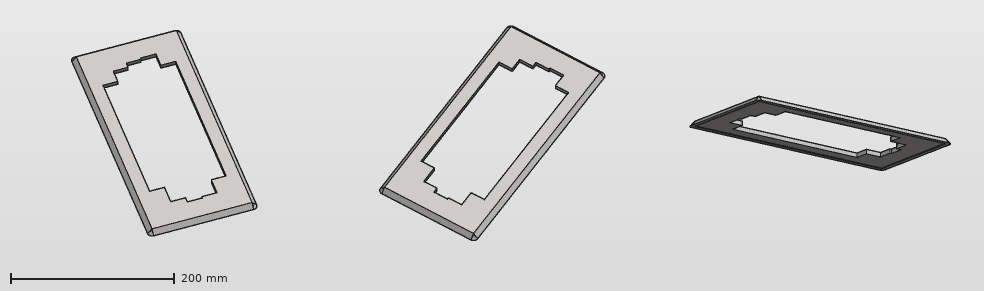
import cadquery as cq
length = 299.5
width = 141.3
thickness = 7.0

rim = 6.0
top_length = length - 2 * rim
top_width = width - 2 * rim

hollow_depth = 1.05

row_spans = [
    (-98.0, 93.5),
    (-116.8, 115.0),
    (-114.7, 117.0),
    (-107.8, 110.2),
    (-90.7, 86.2),
]
row_pitch = 19.2
row_height = 19.8
first_row_y = row_pitch * (len(row_spans) - 1) / 2


def sloped_bar(plane, bottom_span, top_span, depth):
    """Trapezoidal bar, wide at the bottom, centred on the origin along its depth."""
    outline = [
        (-bottom_span / 2, 0),
        (bottom_span / 2, 0),
        (top_span / 2, thickness),
        (-top_span / 2, thickness),
    ]
    return cq.Workplane(plane).polyline(outline).close().extrude(depth / 2, both=True)


def make_plate():
    """Plate with sloped sides and a cone rounding each corner."""
    along_x = sloped_bar("XZ", length, top_length, top_width)
    along_y = sloped_bar("YZ", width, top_width, top_length)
    plate = along_x.union(along_y)
    for x in (-top_length / 2, top_length / 2):
        for y in (-top_width / 2, top_width / 2):
            corner = cq.Solid.makeCone(rim, 0, thickness, pnt=cq.Vector(x, y, 0))
            plate = plate.union(cq.Workplane(obj=corner))
    return plate


def cut_hollow(plate):
    """Cut the shallow rectangular hollow into the underside."""
    hollow = cq.Workplane("XY").rect(top_length, top_width).extrude(hollow_depth)
    return plate.cut(hollow)


def cut_opening(plate):
    """Cut each row of the opening through the full thickness."""
    for index, (left, right) in enumerate(row_spans):
        row = (
            cq.Workplane("XY")
            .center((left + right) / 2, first_row_y - index * row_pitch)
            .rect(right - left, row_height)
            .extrude(thickness)
        )
        plate = plate.cut(row)
    return plate


result = cut_opening(cut_hollow(make_plate())).clean()